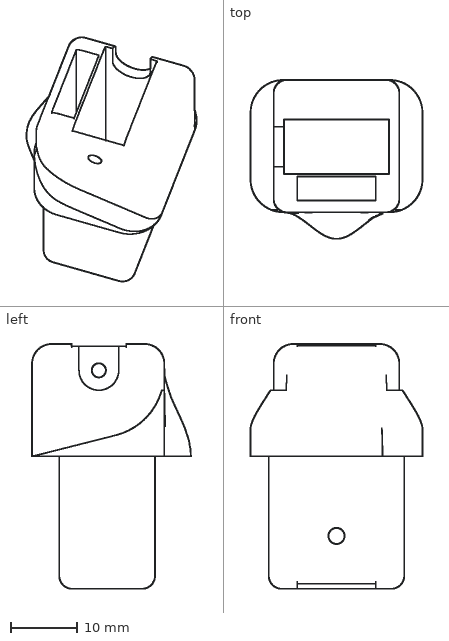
import cadquery as cq
import math

TOTAL_HEIGHT = 37.0
OVERCUT = 1.0

HEAD_WIDTH = 19.0
HEAD_DEPTH = 20.0
HEAD_CORNER_RADIUS = 2.0
HEAD_TOP_RADIUS = 3.0
HEAD_BOTTOM_Z = 20.0
BACK_Y = HEAD_DEPTH / 2
FRONT_Y = -HEAD_DEPTH / 2

STEM_WIDTH = 20.5
STEM_DEPTH = 14.5
STEM_FRONT_Y = FRONT_Y + 1.4
STEM_RADIUS = 2.0
STEM_OVERLAP = 1.0

COLLAR_WIDTH = 26.0
COLLAR_CORNER_RADIUS = 5.0
COLLAR_TOP_Z = 30.0
COLLAR_TOP_LAND = 0.4
COLLAR_RAMP_LENGTH = 12.65
COLLAR_RAMP_ANGLE = 14.2

NOSE_PROJECTION = 4.02
NOSE_TOP_Z = 33.5
NOSE_SIDE_MARGIN = 0.05
NOSE_BOTTOM_HALF_WIDTH = COLLAR_WIDTH / 2 - COLLAR_CORNER_RADIUS
NOSE_TOP_HALF_WIDTH = HEAD_WIDTH / 2 - HEAD_CORNER_RADIUS - NOSE_SIDE_MARGIN
NOSE_ROOT_DEPTH = 1.5
NOSE_SECTIONS = 7
NOSE_POINTS = 17

POCKET_WIDTH = 15.8
POCKET_DEPTH = 8.2
POCKET_BACK_WALL = 6.0
POCKET_CENTER_Y = BACK_Y - POCKET_BACK_WALL - POCKET_DEPTH / 2
SLOT_WIDTH = 11.8
SLOT_DEPTH = 3.6
PARTITION = 0.4
SLOT_CENTER_Y = POCKET_CENTER_Y - POCKET_DEPTH / 2 - PARTITION - SLOT_DEPTH / 2

SIDE_NOTCH_RADIUS = 3.0
SIDE_HOLE_Z = 33.0
SIDE_HOLE_DIAMETER = 2.1
STEM_HOLE_Z = 8.0
STEM_HOLE_DIAMETER = 2.4


def make_head():
    """Round the top first, so that the corner rounds run out along the top mitres."""
    height = TOTAL_HEIGHT - HEAD_BOTTOM_Z
    block = cq.Workplane("XY").box(HEAD_WIDTH, HEAD_DEPTH, height, centered=(True, True, False))
    block = block.translate((0, 0, HEAD_BOTTOM_Z))
    return block.faces(">Z").edges().fillet(HEAD_TOP_RADIUS).edges("|Z").fillet(HEAD_CORNER_RADIUS)


def make_stem():
    height = HEAD_BOTTOM_Z + STEM_OVERLAP
    block = cq.Workplane("XY").box(STEM_WIDTH, STEM_DEPTH, height, centered=(True, False, False))
    block = block.edges("|Z").fillet(STEM_RADIUS).faces("<Z").edges().fillet(STEM_RADIUS)
    return block.translate((0, STEM_FRONT_Y, 0))


def make_collar():
    """Rounded plan outline, limited by a side profile of ramp, tangent arc and short land."""
    angle = math.radians(COLLAR_RAMP_ANGLE)
    ramp_end_y = BACK_Y - COLLAR_RAMP_LENGTH
    ramp_end_z = HEAD_BOTTOM_Z + COLLAR_RAMP_LENGTH * math.tan(angle)
    side_profile = (
        cq.Workplane("YZ")
        .moveTo(BACK_Y, HEAD_BOTTOM_Z)
        .lineTo(ramp_end_y, ramp_end_z)
        .tangentArcPoint((FRONT_Y + COLLAR_TOP_LAND, COLLAR_TOP_Z), relative=False)
        .lineTo(FRONT_Y, COLLAR_TOP_Z)
        .lineTo(FRONT_Y, HEAD_BOTTOM_Z)
        .close()
        .extrude(COLLAR_WIDTH / 2, both=True)
    )
    plan = (
        cq.Workplane("XY", origin=(0, 0, HEAD_BOTTOM_Z))
        .rect(COLLAR_WIDTH, HEAD_DEPTH)
        .extrude(COLLAR_TOP_Z - HEAD_BOTTOM_Z)
        .edges("|Z")
        .fillet(COLLAR_CORNER_RADIUS)
    )
    return plan.intersect(side_profile)


def raised_cosine(fraction):
    """Smooth rise from 0 to 1 that starts and ends level."""
    return (1 - math.cos(math.pi * fraction)) / 2


def nose_section(z, half_width, projection):
    root_y = FRONT_Y + NOSE_ROOT_DEPTH
    points = []
    for i in range(NOSE_POINTS):
        across = 2 * i / (NOSE_POINTS - 1) - 1
        bulge = projection * raised_cosine(1 - abs(across))
        points.append(cq.Vector(across * half_width, FRONT_Y - bulge, z))
    left, right = points[0], points[-1]
    root_left = cq.Vector(left.x, root_y, z)
    root_right = cq.Vector(right.x, root_y, z)
    along_x = cq.Vector(1, 0, 0)
    return cq.Wire.assembleEdges([
        cq.Edge.makeSpline(points, tangents=[along_x, along_x]),
        cq.Edge.makeLine(right, root_right),
        cq.Edge.makeLine(root_right, root_left),
        cq.Edge.makeLine(root_left, left),
    ])


def make_nose():
    """Loft of bell sections that narrow from the collar flat to the flat front of the head."""
    sections = []
    for i in range(NOSE_SECTIONS):
        fraction = i / (NOSE_SECTIONS - 1)
        z = HEAD_BOTTOM_Z + fraction * (NOSE_TOP_Z - HEAD_BOTTOM_Z)
        half_width = NOSE_BOTTOM_HALF_WIDTH + fraction * (NOSE_TOP_HALF_WIDTH - NOSE_BOTTOM_HALF_WIDTH)
        projection = NOSE_PROJECTION * raised_cosine(1 - fraction)
        sections.append(nose_section(z, half_width, projection))
    return cq.Workplane(cq.Solid.makeLoft(sections))


def through_opening(width, depth, center_y):
    height = TOTAL_HEIGHT + 2 * OVERCUT
    return cq.Workplane("XY", origin=(0, center_y, -OVERCUT)).rect(width, depth).extrude(height)


def side_openings():
    """U-shaped notch in the -X wall and a small hole through the +X wall."""
    center = (0, POCKET_CENTER_Y, SIDE_HOLE_Z)
    plane = cq.Workplane("YZ", origin=center)
    slot_height = TOTAL_HEIGHT - SIDE_HOLE_Z
    notch = (
        plane.moveTo(-SIDE_NOTCH_RADIUS, slot_height)
        .lineTo(-SIDE_NOTCH_RADIUS, 0)
        .threePointArc((0, -SIDE_NOTCH_RADIUS), (SIDE_NOTCH_RADIUS, 0))
        .lineTo(SIDE_NOTCH_RADIUS, slot_height)
        .close()
        .extrude(-HEAD_WIDTH)
    )
    hole = plane.circle(SIDE_HOLE_DIAMETER / 2).extrude(HEAD_WIDTH)
    return notch.union(hole)


def stem_hole():
    plane = cq.Workplane("XZ", origin=(0, 0, STEM_HOLE_Z))
    return plane.circle(STEM_HOLE_DIAMETER / 2).extrude(HEAD_DEPTH, both=True)


result = make_head().union(make_stem()).union(make_collar()).union(make_nose())
result = result.cut(through_opening(POCKET_WIDTH, POCKET_DEPTH, POCKET_CENTER_Y))
result = result.cut(through_opening(SLOT_WIDTH, SLOT_DEPTH, SLOT_CENTER_Y))
result = result.cut(side_openings()).cut(stem_hole())